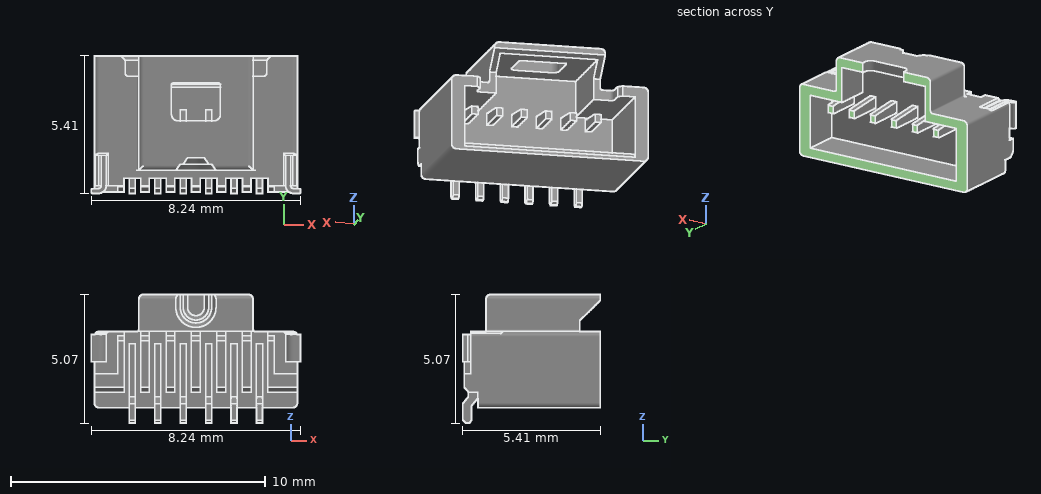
import cadquery as cq
import math


BODY_WIDTH = 7.99
BODY_HEIGHT = 3.01
BODY_DEPTH = 4.81
EDGE_RADIUS = 0.2
OVERLAP = 0.08
BEYOND = 0.82

TOWER_WIDTH = 4.5
TOWER_TOP = 4.47
TOWER_DEPTH = 4.5
TOWER_FOOT_RADIUS = 0.08

SIDE_WALL = 0.535
FLOOR = 0.41
ROOF = 0.41
TOWER_SIDE_WALL = 0.27
CAVITY_DEPTH = 3.625
MOUTH_CHAMFER = 0.165
FLOOR_STEP = 0.11
FLOOR_STEP_START = 1.12
CAVITY_WIDTH = BODY_WIDTH - 2 * SIDE_WALL
TOWER_CAVITY_WIDTH = TOWER_WIDTH - 2 * TOWER_SIDE_WALL

RELIEF_WIDTH = 5.57
RELIEF_DEPTH = 0.8
RELIEF_TOP = 3.44
RELIEF_CORNER = 0.13

WINDOW_WIDTH = 1.93
WINDOW_MOUTH_SIDE = -1.055
WINDOW_BACK_SIDE = -2.555
WINDOW_MOUTH_RADIUS = 0.115
WINDOW_BACK_RADIUS = 0.26

U_CENTER_Z = 3.955
U_STEPS = ((0.79, 0.62, 0.24), (0.5, 0.33, 0.255))

PIN_COUNT = 6
PIN_ROW_LENGTH = 5.0
PIN_PITCH = PIN_ROW_LENGTH / (PIN_COUNT - 1)
PIN_WIDTH = 0.25
PIN_TOP = 2.53
PIN_LEG_BACK = -5.2
PIN_THICKNESS = 0.355
TAIL_BACK = -5.41
TAIL_BOTTOM = -0.6
TIP_CHAMFER = 0.12
TIP_INNER_CHAMFER = 0.08
BEND_OUTER = (0.43, 0.165)
BEND_INNER = (0.38, 0.075)
SLOT_WIDTH = 0.65
CONTACT_TIP = -2.11
CONTACT_HEIGHT = 0.33
CONTACT_SLOPE = 5.5
CONTACT_TIP_RADIUS = 0.09
PIN_XS = [(i - (PIN_COUNT - 1) / 2) * PIN_PITCH for i in range(PIN_COUNT)]

RIB_TOP_BACK = -5.1
RIB_LEDGE_Z = 2.84
RIB_LEDGE_BACK = -5.15
RIB_BACK = -5.36
RIB_SLOPE_BOTTOM = 2.64
RIB_CHAMFER_TOP = 0.81
RIB_BOTTOM = 0.61
RIB_BOTTOM_BACK = -5.175
SHOULDER_INNER_X = 3.08
SHOULDER_TOP = 1.35

CLIP_INNER_X = 3.53
CLIP_THICKNESS = 0.2
CLIP_END_Y = -3.91
CLIP_TAIL_X = 4.12
CLIP_TOP = 2.89
CLIP_BOTTOM = 1.805
CLIP_BEND_RADIUS = 0.115
CLIP_TAIL_RADIUS = 0.06
POCKET_DEPTH = 0.08
GROOVE_SIZE = 0.09


def box(x0, x1, y0, y1, z0, z1):
    return cq.Workplane("XY").box(x1 - x0, y1 - y0, z1 - z0, centered=False).translate((x0, y0, z0))


def side_prism(points, width, x=0.0):
    """Extrude a (Y, Z) outline symmetrically about the plane X = x."""
    return cq.Workplane("YZ").polyline(points).close().extrude(width / 2, both=True).translate((x, 0, 0))


def mirrored(shape):
    return shape.union(shape.mirror("YZ"))


def rounded_bar(depth):
    """Housing cross-section with rounded long edges, running back from the mouth."""
    half = BODY_WIDTH / 2
    return box(-half, half, -depth, 0, 0, BODY_HEIGHT).edges("|Y").fillet(EDGE_RADIUS)


def make_back_ribs():
    """Rib profile over the full width, trimmed for the shoulders and slotted for the pins."""
    front = -BODY_DEPTH + OVERLAP
    profile = [
        (front, BODY_HEIGHT),
        (RIB_TOP_BACK, BODY_HEIGHT),
        (RIB_TOP_BACK, RIB_LEDGE_Z),
        (RIB_LEDGE_BACK, RIB_LEDGE_Z),
        (RIB_BACK, RIB_SLOPE_BOTTOM),
        (RIB_BACK, RIB_CHAMFER_TOP),
        (RIB_BOTTOM_BACK, RIB_BOTTOM),
        (front, RIB_BOTTOM),
    ]
    ribs = side_prism(profile, BODY_WIDTH).intersect(rounded_bar(-RIB_BACK))
    shoulder = box(SHOULDER_INNER_X, BODY_WIDTH, RIB_BACK - BEYOND, RIB_TOP_BACK, SHOULDER_TOP, BODY_HEIGHT)
    ribs = ribs.cut(mirrored(shoulder))
    for x in PIN_XS:
        half = SLOT_WIDTH / 2
        ribs = ribs.cut(box(x - half, x + half, RIB_BACK - BEYOND, -BODY_DEPTH, 0, BODY_HEIGHT + BEYOND))
    return ribs


def make_tower():
    half = TOWER_WIDTH / 2
    tower = box(-half, half, -TOWER_DEPTH, 0, FLOOR, TOWER_TOP)
    tower = tower.edges("(|Y and >Z) or (>Z and <Y)").fillet(EDGE_RADIUS)
    r = TOWER_FOOT_RADIUS
    foot = box(half - OVERLAP, half + r, -TOWER_DEPTH, 0, BODY_HEIGHT - OVERLAP, BODY_HEIGHT + r)
    round_cut = cq.Workplane("XZ").center(half + r, BODY_HEIGHT + r).circle(r).extrude(TOWER_DEPTH)
    return tower.union(mirrored(foot.cut(round_cut)))


def make_cavity():
    half = CAVITY_WIDTH / 2
    tower_half = TOWER_CAVITY_WIDTH / 2
    tower_roof = TOWER_TOP - ROOF
    main = box(-half, half, -CAVITY_DEPTH, 0, FLOOR, BODY_HEIGHT - ROOF)
    tower = box(-tower_half, tower_half, -CAVITY_DEPTH, 0, FLOOR, tower_roof)
    low_floor = FLOOR - FLOOR_STEP
    step = side_prism(
        [
            (0, FLOOR),
            (-FLOOR_STEP_START - FLOOR_STEP, FLOOR),
            (-FLOOR_STEP_START, low_floor),
            (-MOUTH_CHAMFER, low_floor),
            (0, low_floor - MOUTH_CHAMFER),
        ],
        CAVITY_WIDTH,
    )
    return main.union(tower).union(step)


def make_relief():
    half = RELIEF_WIDTH / 2
    roof_cut = box(-half, half, -RELIEF_DEPTH, 0, BODY_HEIGHT - ROOF - OVERLAP, RELIEF_TOP)
    roof_cut = roof_cut.edges("|Z and <Y").fillet(RELIEF_CORNER)
    flare = (
        cq.Workplane("XY")
        .workplane(offset=BODY_HEIGHT - ROOF - OVERLAP)
        .polyline([
            (-half - MOUTH_CHAMFER, 0),
            (-half, -MOUTH_CHAMFER),
            (half, -MOUTH_CHAMFER),
            (half + MOUTH_CHAMFER, 0),
        ])
        .close()
        .extrude(ROOF + 2 * OVERLAP)
    )
    slope_top = TOWER_TOP - ROOF + MOUTH_CHAMFER
    slope = side_prism([(0, RELIEF_TOP), (-RELIEF_DEPTH, RELIEF_TOP), (0, slope_top)], RELIEF_WIDTH)
    return roof_cut.union(flare).union(slope)


def make_window():
    half = WINDOW_WIDTH / 2
    window = box(-half, half, WINDOW_BACK_SIDE, WINDOW_MOUTH_SIDE, BODY_HEIGHT, TOWER_TOP + BEYOND)
    window = window.edges("|Z and >Y").fillet(WINDOW_MOUTH_RADIUS)
    return window.edges("|Z and <Y").fillet(WINDOW_BACK_RADIUS)


def make_u_recess():
    """Two U-shaped funnel steps sunk into the back of the tower."""
    top = TOWER_TOP + BEYOND
    start = -TOWER_DEPTH
    recess = cq.Workplane("XY")
    for start_radius, end_radius, depth in U_STEPS:
        taper = math.degrees(math.atan2(start_radius - end_radius, depth))
        step = (
            cq.Workplane("XZ", origin=(0, start, 0))
            .moveTo(-start_radius, top)
            .lineTo(-start_radius, U_CENTER_Z)
            .threePointArc((0, U_CENTER_Z - start_radius), (start_radius, U_CENTER_Z))
            .lineTo(start_radius, top)
            .close()
            .extrude(-depth, taper=taper)
        )
        recess = recess.union(step)
        start += depth
    return recess


def make_pin(x):
    """The bent outer leg and the inner contact of one pin, both anchored in the back wall."""
    tail_front = TAIL_BACK + PIN_THICKNESS
    wall = -BODY_DEPTH + OVERLAP
    wall_face = -BODY_DEPTH
    leg = [
        (wall, PIN_TOP),
        (PIN_LEG_BACK, PIN_TOP),
        (PIN_LEG_BACK, BEND_OUTER[0]),
        (TAIL_BACK, BEND_OUTER[1]),
        (TAIL_BACK, TAIL_BOTTOM + TIP_CHAMFER),
        (TAIL_BACK + TIP_CHAMFER, TAIL_BOTTOM),
        (tail_front - TIP_INNER_CHAMFER, TAIL_BOTTOM),
        (tail_front, TAIL_BOTTOM + TIP_CHAMFER),
        (tail_front, BEND_INNER[1]),
        (wall_face, BEND_INNER[0]),
        (wall, BEND_INNER[0]),
    ]
    root = -CAVITY_DEPTH - OVERLAP
    drop = (CONTACT_TIP - root) * math.tan(math.radians(CONTACT_SLOPE))
    root_bottom = PIN_TOP - drop - CONTACT_HEIGHT
    contact = side_prism(
        [
            (root, PIN_TOP),
            (CONTACT_TIP, PIN_TOP - drop),
            (CONTACT_TIP, root_bottom),
            (root, root_bottom),
        ],
        PIN_WIDTH,
        x,
    )
    contact = contact.faces(">Y").edges("|X and >Z").fillet(CONTACT_TIP_RADIUS)
    return side_prism(leg, PIN_WIDTH, x), contact


def make_clip_pocket():
    """Funnel-edged pocket over the clip, with a bevelled groove along the clip's outer face."""
    floor = BODY_HEIGHT - POCKET_DEPTH
    length = BODY_DEPTH
    pocket = box(
        CLIP_INNER_X - POCKET_DEPTH,
        BODY_WIDTH,
        CLIP_END_Y - length,
        CLIP_END_Y + POCKET_DEPTH,
        floor,
        BODY_HEIGHT + POCKET_DEPTH,
    )
    pocket = pocket.faces("<Z").edges("<X or >Y").chamfer(POCKET_DEPTH)
    groove_x = CLIP_INNER_X + CLIP_THICKNESS
    groove = (
        cq.Workplane("XZ", origin=(0, CLIP_END_Y, 0))
        .polyline([(groove_x, floor), (groove_x + GROOVE_SIZE, floor), (groove_x, floor - GROOVE_SIZE)])
        .close()
        .extrude(length)
    )
    slot = box(CLIP_INNER_X, groove_x, CLIP_END_Y - length, CLIP_END_Y, CLIP_TOP, BODY_HEIGHT)
    return pocket.union(groove).union(slot)


def make_clip():
    """Upright sheet in the side wall, bent outward behind the housing."""
    outer_radius = CLIP_BEND_RADIUS + CLIP_THICKNESS
    outer_x = CLIP_INNER_X + CLIP_THICKNESS
    clip = (
        cq.Workplane("XY")
        .workplane(offset=CLIP_BOTTOM)
        .polyline([
            (CLIP_INNER_X, CLIP_END_Y),
            (outer_x, CLIP_END_Y),
            (outer_x, TAIL_BACK + CLIP_THICKNESS),
            (CLIP_TAIL_X, TAIL_BACK + CLIP_THICKNESS),
            (CLIP_TAIL_X, TAIL_BACK),
            (CLIP_INNER_X, TAIL_BACK),
        ])
        .close()
        .extrude(CLIP_TOP - CLIP_BOTTOM)
    )
    middle_z = (CLIP_TOP + CLIP_BOTTOM) / 2
    outer_corner = cq.NearestToPointSelector((CLIP_INNER_X, TAIL_BACK, middle_z))
    inner_corner = cq.NearestToPointSelector((outer_x, TAIL_BACK + CLIP_THICKNESS, middle_z))
    clip = clip.edges(outer_corner).fillet(outer_radius)
    clip = clip.edges(inner_corner).fillet(CLIP_BEND_RADIUS)
    return clip.edges("|Z and >X").fillet(CLIP_TAIL_RADIUS)


housing = rounded_bar(BODY_DEPTH).union(make_back_ribs()).union(make_tower())
housing = housing.cut(make_cavity()).cut(make_relief())
housing = housing.cut(make_window()).cut(make_u_recess())
housing = housing.cut(mirrored(make_clip_pocket()))
result = housing.union(mirrored(make_clip()))
for pin_x in PIN_XS:
    for pin_part in make_pin(pin_x):
        result = result.union(pin_part)